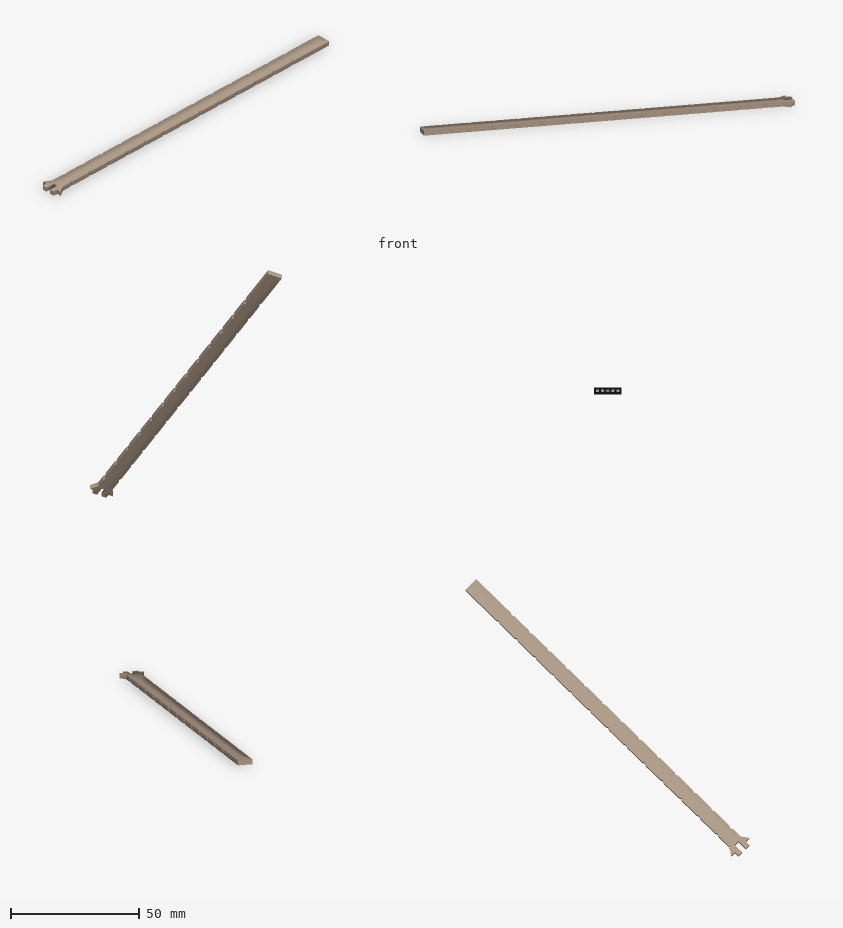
import cadquery as cq

length = 150.0
thickness = 2.0
strap_width = 6.0
half_width = strap_width / 2

overall_width = 10.0
slot_width = strap_width / 3
slot_depth = 4.0
barb_base = 2.0
barb_top = 5.0

notch_count = 13
notch_span = 120.0
notch_pitch = notch_span / (notch_count - 1)
notch_width = 2.0
notch_depth = 0.5
first_notch_left = 12.0
first_notch_right = 10.0


def plate(points):
    """Extrude a closed outline through the strap thickness."""
    return cq.Workplane("XY").polyline(points).close().extrude(thickness)


def barb(side):
    """Triangular barb beside the fork; side is -1 (left) or +1 (right)."""
    return plate([
        (0, barb_base),
        (side * overall_width / 2, barb_base),
        (side * half_width, barb_top),
        (0, barb_top),
    ])


def notch(side, center_y):
    """V-shaped cutter on one edge of the strap."""
    edge = side * half_width
    return plate([
        (edge, center_y - notch_width / 2),
        (side * (half_width - notch_depth), center_y),
        (edge, center_y + notch_width / 2),
    ])


result = cq.Workplane("XY").box(strap_width, length, thickness, centered=(True, False, False))
for side in (-1, 1):
    result = result.union(barb(side))

slot = cq.Workplane("XY").box(slot_width, slot_depth, thickness, centered=(True, False, False))
result = result.cut(slot)

for side, first_notch in ((-1, first_notch_left), (1, first_notch_right)):
    for index in range(notch_count):
        result = result.cut(notch(side, first_notch + index * notch_pitch))